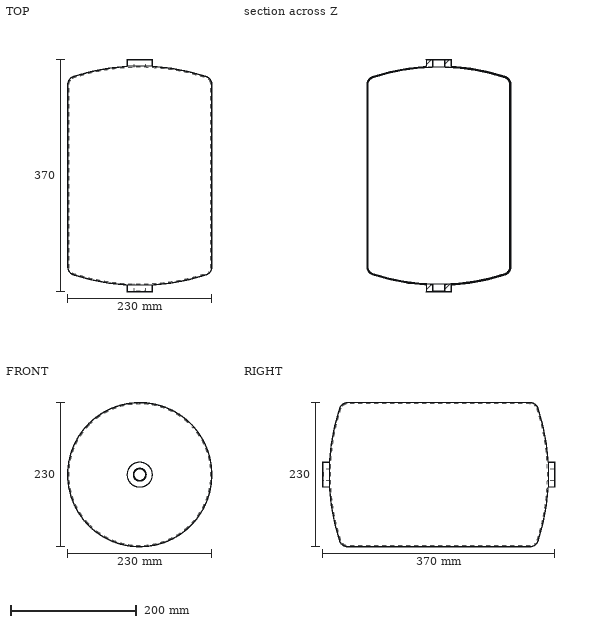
import cadquery as cq
import math

overall_length = 370.0
outer_diameter = 230.0
inner_diameter = 226.0
straight_length = 289.7
knuckle_radius = 14.0
crown_radius = 340.5

port_diameter = 40.0
bore_diameter = 18.5
bore_chamfer = 1.0

wall = (outer_diameter - inner_diameter) / 2
half_straight = straight_length / 2

knuckle_center_radius = outer_diameter / 2 - knuckle_radius
crown_angle = math.asin(knuckle_center_radius / (crown_radius - knuckle_radius))
crown_center_y = half_straight - (crown_radius - knuckle_radius) * math.cos(crown_angle)


def crown_point(inset, angle):
    """Point on the crown arc, at an angle from the tank axis."""
    radius = crown_radius - inset
    return (radius * math.sin(angle), crown_center_y + radius * math.cos(angle))


def knuckle_point(inset, angle):
    """Point on the knuckle arc, at an angle from the tank axis."""
    radius = knuckle_radius - inset
    return (
        knuckle_center_radius + radius * math.sin(angle),
        half_straight + radius * math.cos(angle),
    )


def mirrored(point):
    return (point[0], -point[1])


def tank_body(inset):
    """Solid cylinder with domed ends, inset from the outer surface."""
    apex = crown_point(inset, 0)
    crown_middle = crown_point(inset, crown_angle / 2)
    joint = crown_point(inset, crown_angle)
    knuckle_middle = knuckle_point(inset, (crown_angle + math.pi / 2) / 2)
    shoulder = knuckle_point(inset, math.pi / 2)
    return (
        cq.Workplane("XY")
        .moveTo(*mirrored(apex))
        .threePointArc(mirrored(crown_middle), mirrored(joint))
        .threePointArc(mirrored(knuckle_middle), mirrored(shoulder))
        .lineTo(*shoulder)
        .threePointArc(knuckle_middle, joint)
        .threePointArc(crown_middle, apex)
        .close()
        .revolve(360, (0, 0, 0), (0, 1, 0))
    )


def axial_cylinder(diameter):
    """Full-length cylinder along the tank axis."""
    return cq.Workplane("XZ").circle(diameter / 2).extrude(overall_length / 2, both=True)


shell = tank_body(0).union(axial_cylinder(port_diameter)).cut(tank_body(wall))

bore = axial_cylinder(bore_diameter)
mouth_diameter = bore_diameter + 2 * bore_chamfer
end_y = overall_length / 2
mouth_profile = [
    (0, end_y),
    (mouth_diameter / 2, end_y),
    (bore_diameter / 2, end_y - bore_chamfer),
    (0, end_y - bore_chamfer),
]
mouth = cq.Workplane("XY").polyline(mouth_profile).close().revolve(360, (0, 0, 0), (0, 1, 0))

result = shell.cut(bore).cut(mouth).cut(mouth.mirror("XZ"))